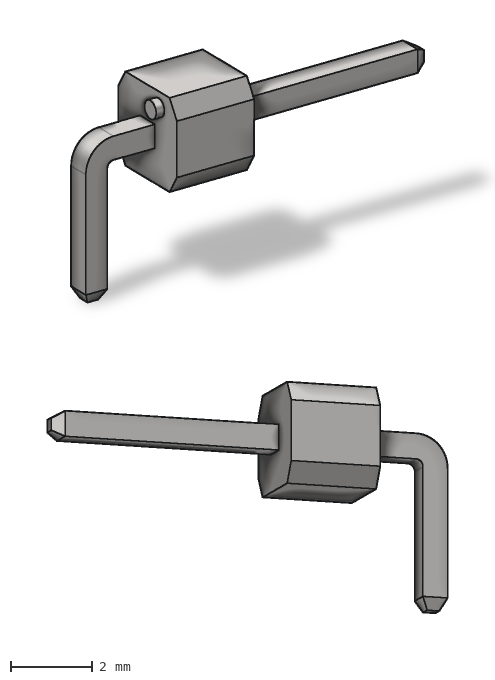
import cadquery as cq


housing_size = 2.54
housing_depth = 2.31
corner_cut_x = 0.32
corner_cut_z = 0.51

pin_width = 0.64
total_length = 10.21
rear_reach = 8.15
front_reach = total_length - rear_reach
total_height = 5.33
leg_drop = total_height - housing_size / 2
bend_outer_radius = 0.83
bend_inner_radius = bend_outer_radius - pin_width
tip_length = 0.31
tip_width = 0.32

peg_diameter = 0.5
peg_length = 0.25
peg_x = 0.48
peg_z = 0.84


def make_housing():
    """Square block with its four long edges cut at an angle."""
    half = housing_size / 2
    flat_x = half - corner_cut_x
    flat_z = half - corner_cut_z
    outline = [
        (-flat_x, -half),
        (flat_x, -half),
        (half, -flat_z),
        (half, flat_z),
        (flat_x, half),
        (-flat_x, half),
        (-half, flat_z),
        (-half, -flat_z),
    ]
    return cq.Workplane("XZ").polyline(outline).close().extrude(-housing_depth)


def make_tip(base_plane):
    """Tapered square end that grows along the plane's normal."""
    return (
        cq.Workplane(base_plane)
        .rect(pin_width, pin_width)
        .workplane(offset=tip_length)
        .rect(tip_width, tip_width)
        .loft(ruled=True)
    )


def make_pin():
    """Square wire bent down through a right angle, tapered at both ends."""
    half = pin_width / 2
    arm_end = rear_reach - tip_length
    leg_end = -leg_drop + tip_length
    leg_outer = -front_reach
    leg_inner = leg_outer + pin_width
    bend_y = leg_outer + bend_outer_radius
    bend_z = half - bend_outer_radius

    wire = (
        cq.Workplane("YZ")
        .moveTo(arm_end, half)
        .lineTo(bend_y, half)
        .radiusArc((leg_outer, bend_z), -bend_outer_radius)
        .lineTo(leg_outer, leg_end)
        .lineTo(leg_inner, leg_end)
        .lineTo(leg_inner, bend_z)
        .radiusArc((bend_y, -half), bend_inner_radius)
        .lineTo(arm_end, -half)
        .close()
        .extrude(half, both=True)
    )
    arm_plane = cq.Plane(origin=(0, arm_end, 0), xDir=(1, 0, 0), normal=(0, 1, 0))
    leg_center_y = leg_outer + half
    leg_plane = cq.Plane(origin=(0, leg_center_y, leg_end), xDir=(1, 0, 0), normal=(0, 0, -1))
    return wire.union(make_tip(arm_plane)).union(make_tip(leg_plane))


def make_peg():
    return cq.Workplane("XZ").center(peg_x, peg_z).circle(peg_diameter / 2).extrude(peg_length)


result = make_housing().union(make_pin()).union(make_peg())